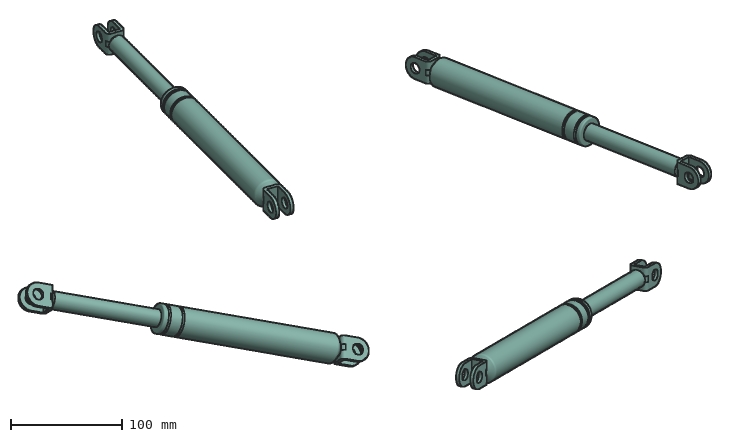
import cadquery as cq
import math

total_length = 347.0
end_x = total_length / 2

eye_radius = 11.0
eye_hole_radius = 5.2
clevis_width = 18.0
clevis_plate = 3.5
clevis_length = 27.0
bend_radius = 3.5
dent_width = 5.5
dent_floor_radius = 5.5

rod_radius = 8.5
rod_tip_radius = 6.2
rod_tip_length = 1.5

tube_radius = 14.05
tube_start_x = -37.0
tube_lip = 1.5
groove_radius = 1.0
groove_positions = (-31.2, -17.5)
shoulder_start_x = 139.5
shoulder_length = 2.0
shoulder_radius = 13.2
tail_radius = 7.0

clevis_base_x = end_x - clevis_length


def make_bend_dent():
    """Cutter for the dent in the bend on the +Y side of the right-hand clevis."""
    outer_y = clevis_width / 2
    bend_start = (clevis_base_x, outer_y - bend_radius)
    bend_end = (clevis_base_x + bend_radius, outer_y)
    half_chord = bend_radius / math.sqrt(2)
    floor_rise = dent_floor_radius - math.sqrt(dent_floor_radius**2 - half_chord**2)
    floor_offset = floor_rise / math.sqrt(2)
    floor_middle = (
        clevis_base_x + bend_radius / 2 - floor_offset,
        outer_y - bend_radius / 2 + floor_offset,
    )
    return (
        cq.Workplane("XY")
        .moveTo(*bend_start)
        .threePointArc(floor_middle, bend_end)
        .lineTo(clevis_base_x, outer_y)
        .close()
        .extrude(dent_width / 2, both=True)
    )


def make_clevis():
    """Right-hand U-shaped clevis, its base facing -X and its eyes at the +X end."""
    eye_x = end_x - eye_radius
    plate_length = eye_x - clevis_base_x
    clevis = (
        cq.Workplane("XY")
        .box(plate_length, clevis_width, 2 * eye_radius, centered=(False, True, True))
        .translate((clevis_base_x, 0, 0))
        .edges("<X and |Z")
        .fillet(bend_radius)
    )
    eye_plane = cq.Workplane("XZ", origin=(eye_x, 0, 0))
    clevis = clevis.union(eye_plane.circle(eye_radius).extrude(clevis_width / 2, both=True))
    clevis = clevis.cut(eye_plane.circle(eye_hole_radius).extrude(clevis_width, both=True))
    gap = (
        cq.Workplane("XY")
        .box(clevis_length, clevis_width - 2 * clevis_plate, 3 * eye_radius, centered=(False, True, True))
        .translate((clevis_base_x + clevis_plate, 0, 0))
    )
    dent = make_bend_dent()
    return clevis.cut(gap).cut(dent).cut(dent.mirror("XZ"))


def make_piston_rod():
    """Rod with a tapered tip and a clevis, butting against the tube face."""
    rod = (
        cq.Workplane("XY")
        .moveTo(-clevis_base_x, 0)
        .lineTo(-clevis_base_x, rod_tip_radius)
        .lineTo(-clevis_base_x + rod_tip_length, rod_radius)
        .lineTo(tube_start_x, rod_radius)
        .lineTo(tube_start_x, 0)
        .close()
        .revolve(360, (0, 0, 0), (1, 0, 0))
    )
    return rod.union(make_clevis().mirror("YZ"))


def make_cylinder():
    """Tube with a rounded lip, rolled grooves, a tapered tail and a clevis."""
    shoulder_end_x = shoulder_start_x + shoulder_length
    profile = (
        cq.Workplane("XY")
        .moveTo(tube_start_x, 0)
        .lineTo(tube_start_x, tube_radius - tube_lip)
        .radiusArc((tube_start_x + tube_lip, tube_radius), tube_lip)
    )
    for groove_x in groove_positions:
        profile = profile.lineTo(groove_x - groove_radius, tube_radius).threePointArc(
            (groove_x, tube_radius - groove_radius), (groove_x + groove_radius, tube_radius)
        )
    profile = (
        profile.lineTo(shoulder_start_x, tube_radius)
        .tangentArcPoint((shoulder_end_x, shoulder_radius), relative=False)
        .lineTo(clevis_base_x, tail_radius)
        .lineTo(clevis_base_x, 0)
        .close()
    )
    tube = profile.revolve(360, (0, 0, 0), (1, 0, 0))
    return tube.union(make_clevis())


piston_rod = make_piston_rod()
cylinder = make_cylinder()

result = cq.Compound.makeCompound([piston_rod.val(), cylinder.val()])